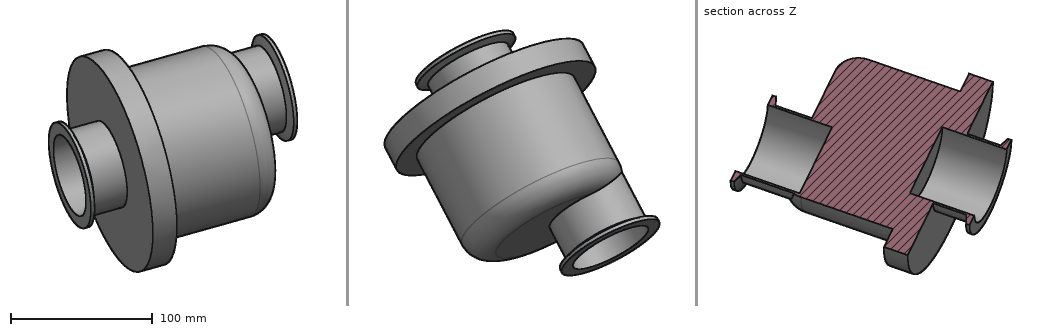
import cadquery as cq

total_length = 170.0

flange_diameter = 157.5
flange_thickness = 18.4
body_diameter = 125.0
dome_radius = 18.0
flange_start = 30.6
body_start = flange_start + flange_thickness
body_end = 137.0

tube_diameter = 63.5
bore_diameter = 59.5
ferrule_diameter = 77.5
rim_thickness = 2.85
cone_length = 2.6
outlet_offset = -29.7

bore_depth = body_start

outlet_tube_length = total_length - (body_end - dome_radius)


def cylinder(diameter, start, length):
    """Cylinder on the Y axis, growing towards +Y from Y = start."""
    plane = cq.Workplane("XZ", origin=(0, start, 0))
    return plane.circle(diameter / 2).extrude(-length)


def port(tube_length):
    """Solid clamp port with its open face at Y = 0, pointing towards -Y."""
    back = rim_thickness + cone_length
    ferrule = (
        cq.Workplane("XY")
        .moveTo(0, 0)
        .lineTo(ferrule_diameter / 2, 0)
        .lineTo(ferrule_diameter / 2, rim_thickness)
        .lineTo(tube_diameter / 2, back)
        .lineTo(0, back)
        .close()
        .revolve(360, (0, 0, 0), (0, 1, 0))
    )
    return ferrule.union(cylinder(tube_diameter, 0, tube_length))


def at_outlet(shape):
    """Turn an inlet shape end for end and move it to the outlet position."""
    turned = shape.rotate((0, 0, 0), (0, 0, 1), 180)
    return turned.translate((outlet_offset, total_length, 0))


def housing():
    """Flange with the domed body behind it."""
    flange = cylinder(flange_diameter, flange_start, flange_thickness)
    body = cylinder(body_diameter, body_start, body_end - body_start)
    body = body.faces(">Y").edges().fillet(dome_radius)
    return flange.union(body)


bore = cylinder(bore_diameter, 0, bore_depth)

result = (
    housing()
    .union(port(flange_start))
    .union(at_outlet(port(outlet_tube_length)))
    .cut(bore)
    .cut(at_outlet(bore))
)